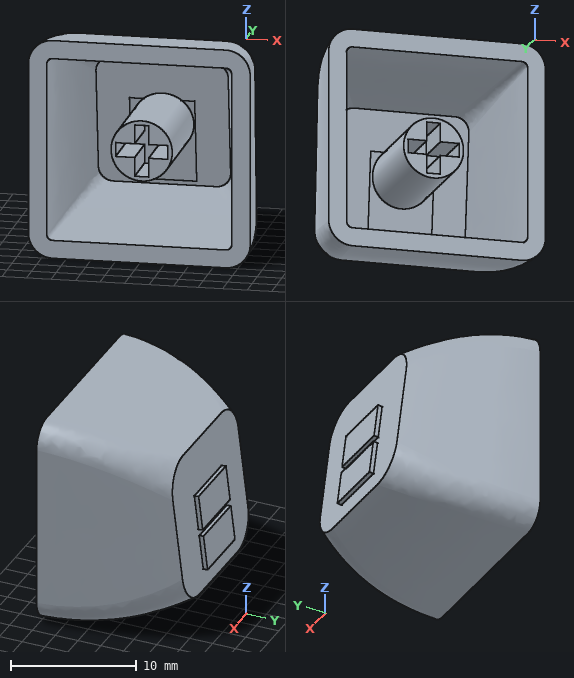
import cadquery as cq
import math

RIM_SIZE = 18.1
RIM_CORNER = 2.0
FACE_WIDTH = 12.76
FACE_HEIGHT = 12.55
FACE_CORNER = 2.7
FACE_CENTER_Y = 11.19
FACE_TILT = 6.8

WALL = 1.5
OPENING_SIZE = RIM_SIZE - 2 * WALL
OPENING_CORNER = RIM_CORNER - WALL
FLOOR_WIDTH = 10.79
FLOOR_HEIGHT = 10.66
FLOOR_CORNER = FACE_CORNER - WALL
FLOOR_CENTER_Y = FACE_CENTER_Y - WALL / math.cos(math.radians(FACE_TILT))

MIDWAY_NARROWING = 0.25

STEM_DIAMETER = 5.0
STEM_START_Y = 1.0
CROSS_LENGTH = 4.25
CROSS_WIDTH = 1.14
CROSS_DEPTH = 3.98

LEGEND_WIDTH = 5.32
PLATE_BOTTOM = -4.78
PLATE_TOP = 2.14
PLATE_THICKNESS = WALL / 2
LEGEND_CENTER_X = -0.05
BAR_RISE = 0.38
BAR_HEIGHT = 3.04
LOWER_BAR_BOTTOM = -4.6
UPPER_BAR_BOTTOM = -1.0


def tilted_plane(center_y, tilt):
    """Plane across the Y axis: its y runs up and its z points away from the rim."""
    angle = math.radians(tilt)
    return cq.Plane(
        origin=(0, center_y, 0),
        xDir=(-1, 0, 0),
        normal=(0, math.cos(angle), math.sin(angle)),
    )


FACE_PLANE = tilted_plane(FACE_CENTER_Y, FACE_TILT)


def rounded_rectangle(plane, width, height, corner):
    outline = cq.Sketch().rect(width, height).vertices().fillet(corner)
    return outline.reset().faces().val().outerWire().moved(plane.location)


def blend(start, end, share):
    return start + (end - start) * share


def bulging_loft(start_size, start_corner, end_width, end_height, end_corner, end_y):
    """Loft from a square at Y = 0 to a tilted rounded rectangle, curving inward on the way."""
    sections = []
    for travel, narrowing in ((0, 0), (0.5, MIDWAY_NARROWING), (1, 1)):
        sections.append(rounded_rectangle(
            tilted_plane(end_y * travel, FACE_TILT * travel),
            blend(start_size, end_width, narrowing),
            blend(start_size, end_height, narrowing),
            blend(start_corner, end_corner, narrowing),
        ))
    return cq.Workplane(cq.Solid.makeLoft(sections))


def make_skin():
    return bulging_loft(
        RIM_SIZE, RIM_CORNER, FACE_WIDTH, FACE_HEIGHT, FACE_CORNER, FACE_CENTER_Y
    )


def make_cavity():
    return bulging_loft(
        OPENING_SIZE, OPENING_CORNER, FLOOR_WIDTH, FLOOR_HEIGHT, FLOOR_CORNER, FLOOR_CENTER_Y
    )


def make_stem():
    """Round post from inside the cavity into the roof, with a blind cross-shaped socket."""
    stem_end = cq.Workplane(tilted_plane(STEM_START_Y, 0))
    post = stem_end.circle(STEM_DIAMETER / 2).extrude(FLOOR_CENTER_Y + WALL / 2 - STEM_START_Y)
    for width, height in ((CROSS_LENGTH, CROSS_WIDTH), (CROSS_WIDTH, CROSS_LENGTH)):
        post = post.cut(stem_end.rect(width, height).extrude(CROSS_DEPTH))
    return post


def legend_block(bottom, height, inner, outer):
    """Block on the tilted face between two distances along its normal."""
    return (
        cq.Workplane(FACE_PLANE)
        .workplane(offset=inner)
        .center(-LEGEND_CENTER_X, bottom + height / 2)
        .rect(LEGEND_WIDTH, height)
        .extrude(outer - inner)
    )


def make_legend():
    plate_outer = -WALL + PLATE_THICKNESS
    legend = legend_block(PLATE_BOTTOM, PLATE_TOP - PLATE_BOTTOM, -WALL, plate_outer)
    for bottom in (LOWER_BAR_BOTTOM, UPPER_BAR_BOTTOM):
        legend = legend.union(legend_block(bottom, BAR_HEIGHT, plate_outer, BAR_RISE))
    return legend


def make_cap(legend):
    """Hollow skin with its stem, and a matching recess for the legend."""
    cavity = make_cavity().cut(make_stem())
    socketed = make_skin().cut(cavity)
    return socketed.cut(legend)


legend = make_legend()
cap = make_cap(legend)
result = cq.Compound.makeCompound([cap.val(), legend.val()])